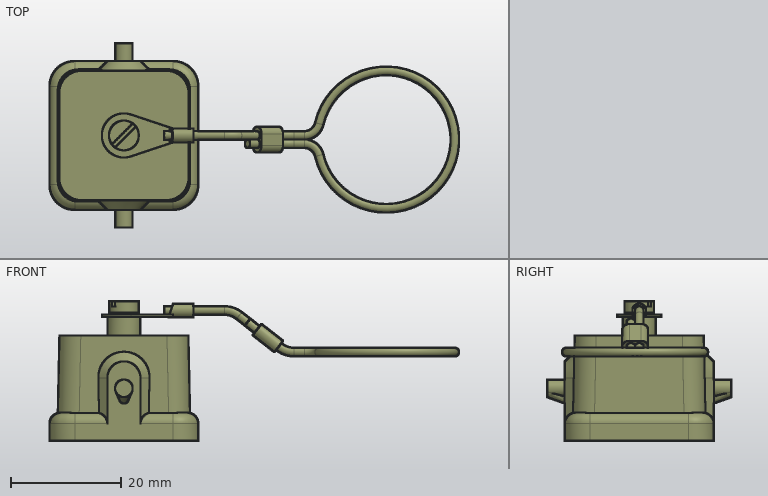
import cadquery as cq
import math

flange_size = 27.0
flange_corner_radius = 4.6
flange_straight_height = 3.1
flange_edge_radius = 2.0
body_size_bottom = 24.2
body_size_top = 23.4
body_corner_radius = 3.9
body_top = 19.1

boss_width = 6.0
boss_round_height = 11.4
boss_draft_angle = 45.0
boss_depth = 2.5
pin_span = 33.4
pin_diameter = 3.2
pin_height = 9.5
pin_tail_diameter = 1.7
pin_tail_height = 7.6

post_diameter = 6.0
post_root_depth = 1.0
neck_diameter = 4.1
head_diameter = 5.4
plate_bottom = 22.4
plate_thickness = 0.5
head_bottom = 23.2
part_height = 25.3
slot_width = 0.8
slot_depth = 1.0
slot_angle = 45.0
plate_radius = 4.0
plate_tip_width = 2.5
plate_tip_x = 8.9

wire_diameter = 1.6
wire_start_x = 7.3
wire_upper_height = 23.6
wire_lower_height = 16.07
sleeve_diameter = 2.5
sleeve_end_x = 12.6
sleeve_toe_length = 0.8
upper_bend_corner_x = 19.7
wire_slope = 38.0
wire_bend_radius = 4.3
slope_cos = math.cos(math.radians(wire_slope))
slope_sin = math.sin(math.radians(wire_slope))
bend_tangent_length = wire_bend_radius * math.tan(math.radians(wire_slope / 2))
strand_spacing = 1.5
free_end_offset = 3.4
ferrule_offset = 8.1
ferrule_length = 5.0
ferrule_thickness = 2.6
ferrule_width = 4.7

overall_length = 74.24
ring_right_x = overall_length - flange_size / 2
ring_radius = 12.45
ring_bend_start_x = 32.7
ring_center_x = ring_right_x - wire_diameter / 2 - ring_radius
ring_center_y = -strand_spacing / 2


def rounded_square(size, radius, height):
    """Rounded square sketch in the plane Z = height."""
    sketch = cq.Sketch().rect(size, size).vertices().fillet(radius)
    return sketch.moved(cq.Location(cq.Vector(0, 0, height)))


def make_flange():
    height = flange_straight_height + flange_edge_radius
    outline = rounded_square(flange_size, flange_corner_radius, 0)
    block = cq.Workplane("XY").placeSketch(outline).extrude(height)
    return block.faces(">Z").edges().fillet(flange_edge_radius)


def make_body():
    bottom = rounded_square(body_size_bottom, body_corner_radius, 0)
    top = rounded_square(body_size_top, body_corner_radius, body_top)
    return cq.Workplane("XY").placeSketch(bottom, top).loft()


def make_side_boss():
    """Drafted arched boss with a tailed pin, on the -Y side."""
    face_y = -flange_size / 2
    radius = boss_width / 2
    growth = boss_depth * math.tan(math.radians(boss_draft_angle))

    def arch(half_width, y):
        return (
            cq.Workplane("XZ", origin=(0, y, 0))
            .moveTo(-half_width, 0)
            .lineTo(half_width, 0)
            .lineTo(half_width, boss_round_height)
            .threePointArc((0, boss_round_height + half_width), (-half_width, boss_round_height))
            .close()
            .wires()
            .val()
        )

    outer = arch(radius, face_y)
    inner = arch(radius + growth, face_y + boss_depth)
    boss = cq.Workplane(cq.Solid.makeLoft([outer, inner], True))

    tip_y = -pin_span / 2
    length = face_y - tip_y
    pin = (
        cq.Workplane("XZ", origin=(0, face_y + boss_depth, pin_height))
        .circle(pin_diameter / 2)
        .extrude(length + boss_depth)
    )
    tail = (
        cq.Workplane("XZ", origin=(0, tip_y, pin_height))
        .circle(pin_diameter / 2)
        .workplane(offset=-length)
        .center(0, pin_tail_height - pin_height)
        .circle(pin_tail_diameter / 2)
        .loft(ruled=True)
    )
    return boss.union(pin).union(tail)


def cylinder(diameter, bottom, top):
    return cq.Workplane("XY", origin=(0, 0, bottom)).circle(diameter / 2).extrude(top - bottom)


def make_post():
    post = cylinder(post_diameter, body_top - post_root_depth, plate_bottom)
    neck = cylinder(neck_diameter, plate_bottom, head_bottom)
    head = cylinder(head_diameter, head_bottom, part_height)
    slot = (
        cq.Workplane("XY", origin=(0, 0, part_height - slot_depth))
        .rect(2 * head_diameter, slot_width)
        .extrude(2 * slot_depth)
        .rotate((0, 0, 0), (0, 0, 1), slot_angle)
    )
    return post.union(neck).union(head.cut(slot))


def make_strap_plate():
    """Teardrop plate: a disc whose straight flanks run to the narrow tip."""
    half_tip = plate_tip_width / 2
    tip_distance = math.hypot(plate_tip_x, half_tip)
    tangent_angle = math.atan2(half_tip, plate_tip_x) + math.acos(plate_radius / tip_distance)
    tangent_x = plate_radius * math.cos(tangent_angle)
    tangent_y = plate_radius * math.sin(tangent_angle)
    return (
        cq.Workplane("XY", origin=(0, 0, plate_bottom))
        .moveTo(plate_tip_x, -half_tip)
        .lineTo(plate_tip_x, half_tip)
        .lineTo(tangent_x, tangent_y)
        .threePointArc((-plate_radius, 0), (tangent_x, -tangent_y))
        .close()
        .extrude(plate_thickness)
    )


def slope_point(offset, y):
    """Point on the sloping strand, at a distance from the upper bend corner."""
    return cq.Vector(upper_bend_corner_x + offset * slope_cos, y, wire_upper_height - offset * slope_sin)


def bend_arc_point(center, radius, angle):
    """Point on a bend in the XZ plane, with the angle in degrees measured from +Z towards +X."""
    radians = math.radians(angle)
    return center + cq.Vector(radius * math.sin(radians), 0, radius * math.cos(radians))


def make_bend(level_end, signed_radius):
    """Three arc points from a level end to the slope; the centre is below it for a positive radius."""
    center = level_end - cq.Vector(0, 0, signed_radius)
    middle = bend_arc_point(center, signed_radius, wire_slope / 2)
    slope_end = bend_arc_point(center, signed_radius, wire_slope)
    return level_end, middle, slope_end


def strand_to_ring(y, side):
    """Edges from the sloping strand's lower bend to where its outward bend meets the ring."""
    slope_length = (wire_upper_height - wire_lower_height) / slope_sin
    corner_x = slope_point(slope_length, y).x
    bend_end = cq.Vector(corner_x + bend_tangent_length, y, wire_lower_height)
    lower_bend = cq.Edge.makeThreePointArc(*reversed(make_bend(bend_end, -wire_bend_radius)))

    half_gap = strand_spacing / 2
    run = ring_center_x - ring_bend_start_x
    bend_radius = (run**2 + half_gap**2 - ring_radius**2) / (2 * (ring_radius - half_gap))
    run_angle = math.atan2(half_gap + bend_radius, run)

    def outward_point(angle):
        x = ring_bend_start_x + bend_radius * math.cos(angle)
        offset = half_gap + bend_radius + bend_radius * math.sin(angle)
        return cq.Vector(x, ring_center_y + side * offset, wire_lower_height)

    outward_start = outward_point(-math.pi / 2)
    outward_middle = outward_point((-math.pi / 2 - run_angle) / 2)
    outward_end = outward_point(-run_angle)
    straight = cq.Edge.makeLine(bend_end, outward_start)
    outward = cq.Edge.makeThreePointArc(outward_start, outward_middle, outward_end)
    return [lower_bend, straight, outward]


def sweep_wire(edges):
    path = cq.Wire.assembleEdges(edges)
    plane = cq.Plane(origin=path.startPoint(), xDir=(0, 1, 0), normal=edges[0].tangentAt(0))
    return cq.Workplane(plane).circle(wire_diameter / 2).sweep(cq.Workplane(path))


def make_cable():
    """Main strand from the plate round the ring, and the returning strand that ends beside it."""
    main_tail = strand_to_ring(0, 1)
    start = cq.Vector(wire_start_x, 0, wire_upper_height)
    bend_start = cq.Vector(upper_bend_corner_x - bend_tangent_length, 0, wire_upper_height)
    bend = make_bend(bend_start, wire_bend_radius)
    main_edges = [
        cq.Edge.makeLine(start, bend_start),
        cq.Edge.makeThreePointArc(*bend),
        cq.Edge.makeLine(bend[2], main_tail[0].startPoint()),
    ]
    return_tail = strand_to_ring(-strand_spacing, -1)
    free_end = slope_point(free_end_offset, -strand_spacing)
    return_edges = [cq.Edge.makeLine(free_end, return_tail[0].startPoint())]
    ring_far_point = cq.Vector(ring_center_x + ring_radius, ring_center_y, wire_lower_height)
    ring = cq.Edge.makeThreePointArc(main_tail[-1].endPoint(), ring_far_point, return_tail[-1].endPoint())
    return sweep_wire(main_edges + main_tail + [ring]).union(sweep_wire(return_edges + return_tail))


def make_sleeve():
    """Round crimp whose slanted end face runs down to a toe on the strap plate."""
    radius = sleeve_diameter / 2
    toe_x = plate_tip_x - sleeve_toe_length
    tube = (
        cq.Workplane("YZ", origin=(toe_x, 0, wire_upper_height))
        .circle(radius)
        .extrude(sleeve_end_x - toe_x)
    )
    side_profile = [
        (toe_x, wire_upper_height - radius),
        (sleeve_end_x, wire_upper_height - radius),
        (sleeve_end_x, wire_upper_height + radius),
        (plate_tip_x, wire_upper_height + radius),
    ]
    envelope = cq.Workplane("XZ").polyline(side_profile).close().extrude(radius, both=True)
    return tube.intersect(envelope)


def make_ferrule():
    """Obround crimp round both strands on the slope."""
    center = slope_point(ferrule_offset, ring_center_y)
    plane = cq.Plane(origin=center, xDir=(0, 1, 0), normal=(slope_cos, 0, -slope_sin))
    return cq.Workplane(plane).slot2D(ferrule_width, ferrule_thickness).extrude(ferrule_length / 2, both=True)


side_boss = make_side_boss()
result = make_flange().union(make_body())
result = result.union(side_boss).union(side_boss.mirror("XZ"))
result = result.union(make_post()).union(make_strap_plate())
result = result.union(make_cable()).union(make_sleeve()).union(make_ferrule())